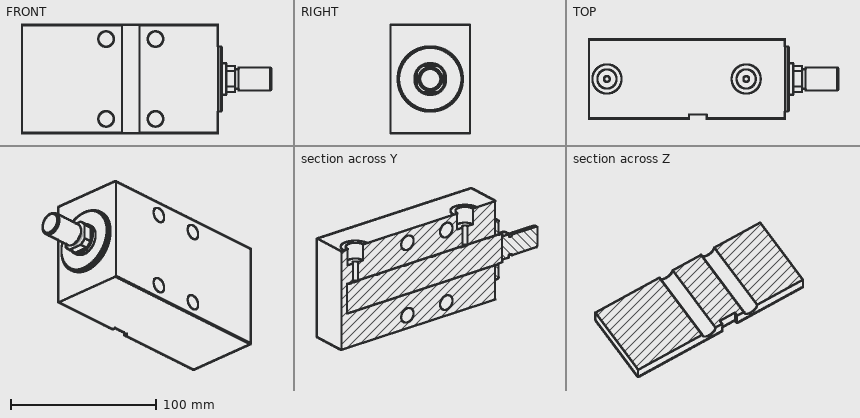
import cadquery as cq


housing_length = 135.0
housing_width = 55.0
housing_height = 75.0
edge_chamfer = 0.5

groove_center = 75.0
groove_width = 12.0
groove_depth = 3.0

mount_hole_diameter = 10.5
mount_hole_spacing_x = 34.0
mount_hole_spacing_z = 55.0

port_positions = (12.4, 108.4)
seat_diameter = 20.1
seat_depth = 0.09
port_diameter = 13.2
port_depth = 12.0
feed_diameter = 4.0

gland_diameter = 45.0
gland_thickness = 3.0
gland_chamfer = 1.0

rod_diameter = 22.0
rod_start = 5.2
rod_end = 141.0
rod_chamfer = 0.5

overall_length = 172.0
shank_diameter = 21.0
across_flats = 18.0
shank_end = 146.9
thread_diameter = 16.0
thread_start = 149.3
thread_end_chamfer = 1.0
neck_diameter = 13.6
neck_fillet = 0.5


def x_cylinder(diameter, start, end):
    """Round bar along the cylinder axis."""
    return cq.Workplane("YZ", origin=(start, 0, 0)).circle(diameter / 2).extrude(end - start)


def drill_down(position, diameter, depth):
    """Cutter for a vertical hole going down from the top face."""
    top = cq.Workplane("XY", origin=(position, 0, housing_height / 2))
    return top.circle(diameter / 2).extrude(-depth)


def make_port(position):
    """Cutter for a spot-faced port with a narrow feed hole down to the rod bore."""
    seat = drill_down(position, seat_diameter, seat_depth)
    port = drill_down(position, port_diameter, port_depth)
    feed = drill_down(position, feed_diameter, housing_height / 2)
    return seat.union(port).union(feed)


def make_housing():
    block = cq.Workplane("XY").box(housing_length, housing_width, housing_height)
    block = block.translate((housing_length / 2, 0, 0)).edges("|X").chamfer(edge_chamfer)

    groove = cq.Workplane("XY").box(groove_width, 2 * groove_depth, housing_height)
    block = block.cut(groove.translate((groove_center, -housing_width / 2, 0)))

    mount_holes = (
        cq.Workplane("XZ", origin=(groove_center, housing_width / 2, 0))
        .rarray(mount_hole_spacing_x, mount_hole_spacing_z, 2, 2)
        .circle(mount_hole_diameter / 2)
        .extrude(housing_width)
    )
    block = block.cut(mount_holes)

    for position in port_positions:
        block = block.cut(make_port(position))

    return block.cut(x_cylinder(rod_diameter, rod_start, housing_length))


def make_gland():
    gland_end = housing_length + gland_thickness
    ring = x_cylinder(gland_diameter, housing_length, gland_end).faces(">X").chamfer(gland_chamfer)
    return ring.cut(x_cylinder(rod_diameter, housing_length, gland_end))


def make_rod():
    return x_cylinder(rod_diameter, rod_start, rod_end).faces(">X").chamfer(rod_chamfer)


def make_stud():
    shank_length = shank_end - rod_end
    square = cq.Workplane("XY").box(shank_length, across_flats, across_flats)
    square = square.translate((rod_end + shank_length / 2, 0, 0))
    shank = x_cylinder(shank_diameter, rod_end, shank_end).intersect(square)

    neck_radius = neck_diameter / 2
    flare_radius = neck_radius + neck_fillet
    neck = (
        cq.Workplane("XY")
        .moveTo(shank_end, 0)
        .lineTo(shank_end, flare_radius)
        .radiusArc((shank_end + neck_fillet, neck_radius), -neck_fillet)
        .lineTo(thread_start - neck_fillet, neck_radius)
        .radiusArc((thread_start, flare_radius), -neck_fillet)
        .lineTo(thread_start, 0)
        .close()
        .revolve(360, (0, 0, 0), (1, 0, 0))
    )

    thread = x_cylinder(thread_diameter, thread_start, overall_length)
    thread = thread.faces(">X").chamfer(thread_end_chamfer)
    return shank.union(neck).union(thread)


housing = make_housing()
gland = make_gland()
rod = make_rod()
stud = make_stud()

result = cq.Compound.makeCompound([housing.val(), gland.val(), rod.val(), stud.val()])